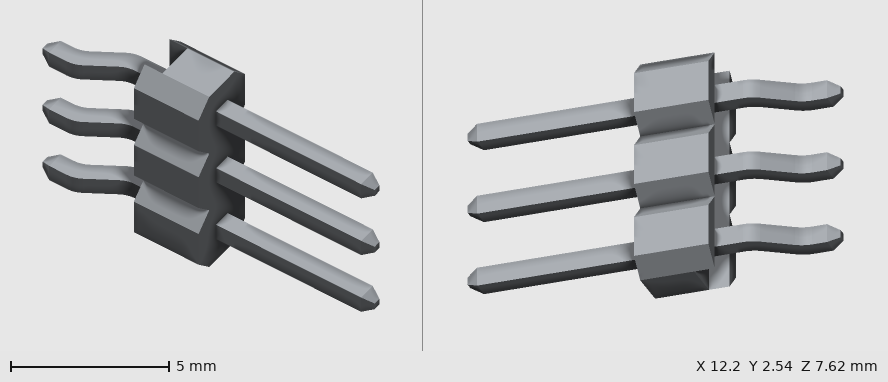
import cadquery as cq
import math


position_count = 3
row_height = 7.62
pitch = row_height / position_count

block_width = pitch
block_corner = 0.59
block_start = 3.7
block_length = 2.5
recess_depth = 0.7
recess_width = block_width - 2 * block_corner

pin_length = 12.2
pin_thickness = 0.63
tip_length = 0.39
tip_thickness = 0.26
foot_offset = 0.9
foot_bend_x = 1.26
shank_bend_x = 2.7
bend_radius = 0.98

position_heights = [(index - (position_count - 1) / 2) * pitch for index in range(position_count)]


def make_block(height):
    """Housing block with a recess between two walls and a square hole for the pin."""
    block = (
        cq.Workplane("YZ", origin=(block_start, 0, height))
        .rect(block_width, block_width)
        .extrude(block_length)
        .edges("|X")
        .chamfer(block_corner)
    )
    recess = (
        cq.Workplane("YZ", origin=(block_start, 0, height))
        .rect(recess_width, block_width)
        .extrude(recess_depth)
    )
    pin_hole = (
        cq.Workplane("YZ", origin=(block_start, 0, height))
        .rect(pin_thickness, pin_thickness)
        .extrude(block_length)
    )
    return block.cut(recess).cut(pin_hole)


def make_pin_bar(height):
    """Bar of square section: straight shank, slanted crank and offset foot, with rounded bends."""
    half = pin_thickness / 2
    bend_angle = math.atan2(foot_offset, shank_bend_x - foot_bend_x)
    mitre_shift = half * math.tan(bend_angle / 2)
    foot_end = tip_length
    shank_end = pin_length - tip_length
    outline = [
        (foot_end, -foot_offset - half),
        (foot_bend_x + mitre_shift, -foot_offset - half),
        (shank_bend_x + mitre_shift, -half),
        (shank_end, -half),
        (shank_end, half),
        (shank_bend_x - mitre_shift, half),
        (foot_bend_x - mitre_shift, -foot_offset + half),
        (foot_end, -foot_offset + half),
    ]
    bar = (
        cq.Workplane("XY", origin=(0, 0, height - half))
        .polyline(outline)
        .close()
        .extrude(pin_thickness)
    )
    return bar.edges("|Z and (not <X) and (not >X)").fillet(bend_radius)


def make_tip(base_x, base_y, height, direction):
    """Four-sided taper that grows from the end of the bar along +X (1) or -X (-1)."""
    return (
        cq.Workplane("YZ", origin=(base_x, base_y, height))
        .rect(pin_thickness, pin_thickness)
        .workplane(offset=direction * tip_length)
        .rect(tip_thickness, tip_thickness)
        .loft(combine=True)
    )


def make_pin(height):
    """One complete pin: cranked bar with a tapered tip at both ends."""
    foot_tip = make_tip(tip_length, -foot_offset, height, -1)
    shank_tip = make_tip(pin_length - tip_length, 0, height, 1)
    return make_pin_bar(height).union(foot_tip).union(shank_tip)


blocks = [make_block(height).solids().val() for height in position_heights]
pins = [make_pin(height).solids().val() for height in position_heights]

result = cq.Compound.makeCompound([*blocks, *pins])